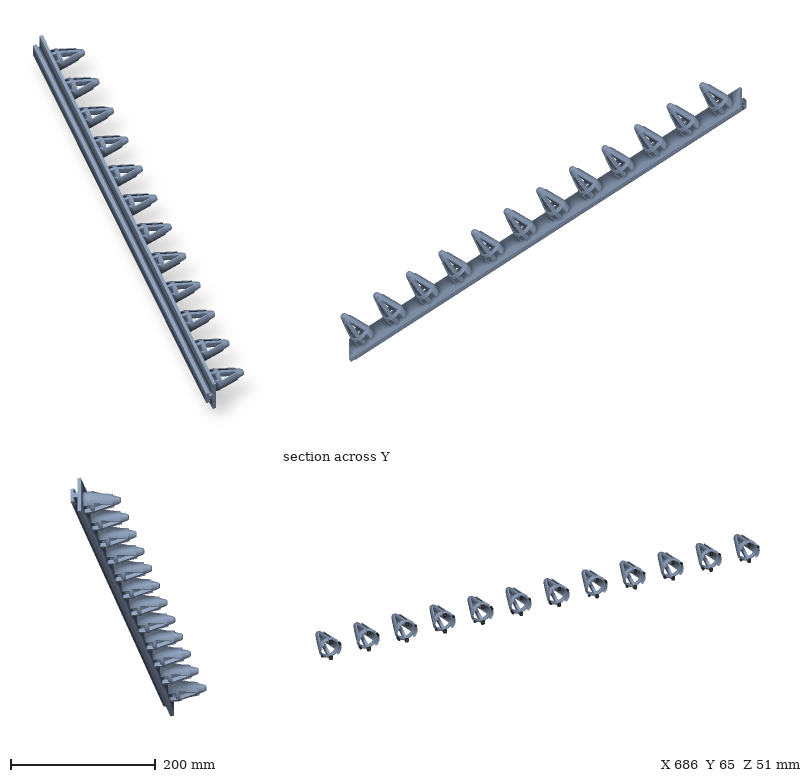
import cadquery as cq
import math

LENGTH = 686.0
RAIL_HEIGHT = 51.0
PLATE_FRONT = 9.5
PLATE_BACK = 14.5
FLANGE_HALF = 9.5
FLANGE_THICKNESS = 4.0
LIP_BACK = 5.5
LIP_HEIGHT = 2.0
WEB_HALF = 3.5

CLIP_COUNT = 12
CLIP_PITCH = LENGTH / CLIP_COUNT
TIP_Y = 65.0
TIP_RADIUS = 3.5
TIP_LENGTH = 2.0
NOSE_RADIUS = 5.0
NOSE_LENGTH = 11.0
BASE_RADIUS = 16.0
LEG_LENGTH = 11.0
RING_HEIGHT = 4.0
RING_WALL = 3.5
RING_LIP = 2.0
PANEL_WIDTH = 16.0
PANEL_WALL = 1.5
NOSE_OVERLAP = 1.0
RIB_WIDTH = 4.0
RIB_DEPTH = 5.5
SIDE_LEG_WIDTH = 20.5

RING_BOTTOM = PLATE_BACK + LEG_LENGTH
RING_TOP = RING_BOTTOM + RING_HEIGHT
CONE_TOP = TIP_Y - TIP_LENGTH
WINDOW_TOP = TIP_Y - NOSE_LENGTH
CONE_SLOPE = (BASE_RADIUS - NOSE_RADIUS) / (CONE_TOP - RING_BOTTOM)
CONE_ANGLE = math.degrees(math.atan(CONE_SLOPE))


def cone_radius(y):
    """Outer radius of the clip's cone at height y."""
    return BASE_RADIUS - CONE_SLOPE * (y - RING_BOTTOM)


def rail():
    upper_half = [
        (0, 0),
        (0, FLANGE_HALF),
        (LIP_BACK, FLANGE_HALF),
        (LIP_BACK, FLANGE_HALF - LIP_HEIGHT),
        (FLANGE_THICKNESS, FLANGE_HALF - LIP_HEIGHT),
        (FLANGE_THICKNESS, WEB_HALF),
        (PLATE_FRONT, WEB_HALF),
        (PLATE_FRONT, RAIL_HEIGHT / 2),
        (PLATE_BACK, RAIL_HEIGHT / 2),
        (PLATE_BACK, 0),
    ]
    half = cq.Workplane("YZ").polyline(upper_half).close().extrude(LENGTH / 2, both=True)
    return half.union(half.mirror("XY"))


def revolved(points):
    """Revolve an outline of (radius, y) points about the clip's axis."""
    return cq.Workplane("XY").polyline(points).close().revolve(360, (0, 0, 0), (0, 1, 0))


def both_sides(shape, plane):
    """The shape together with its mirror image."""
    return shape.union(shape.mirror(plane))


def nose():
    return revolved([
        (0, WINDOW_TOP),
        (cone_radius(WINDOW_TOP), WINDOW_TOP),
        (NOSE_RADIUS, CONE_TOP),
        (TIP_RADIUS, TIP_Y),
        (0, TIP_Y),
    ])


def ring():
    """Base of the cone, with its underside sloping down towards the inside."""
    inner_radius = BASE_RADIUS - RING_WALL
    return revolved([
        (inner_radius, RING_BOTTOM - RING_LIP),
        (BASE_RADIUS - RING_LIP, RING_BOTTOM - RING_LIP),
        (BASE_RADIUS, RING_BOTTOM),
        (cone_radius(RING_TOP), RING_TOP),
        (inner_radius, RING_TOP),
    ])


def curved_wall(y_start, y_end, width, lean):
    """Strip of a cylinder wall on the +X side, leaning inwards by an angle from the ring's lower edge."""
    height = y_end - y_start
    cylinder = (
        cq.Workplane("XZ", origin=(0, TIP_Y, 0))
        .circle(BASE_RADIUS)
        .circle(BASE_RADIUS - PANEL_WALL)
        .extrude(TIP_Y)
        .rotate((BASE_RADIUS, RING_BOTTOM, 0), (BASE_RADIUS, RING_BOTTOM, 1), lean)
    )
    strip = cq.Workplane("XY").box(BASE_RADIUS, height, width)
    return cylinder.intersect(strip.translate((BASE_RADIUS / 2, (y_start + y_end) / 2, 0)))


def side_walls():
    """Leaning panels above the ring and upright legs below it, on both X sides."""
    panel = curved_wall(RING_TOP, WINDOW_TOP + NOSE_OVERLAP, PANEL_WIDTH, CONE_ANGLE)
    leg = curved_wall(PLATE_BACK, RING_BOTTOM, SIDE_LEG_WIDTH, 0)
    return both_sides(panel.union(leg), "YZ")


def narrow_ribs():
    """Narrow bars from the plate to the nose on both Z sides."""
    outline = [
        (PLATE_BACK, BASE_RADIUS),
        (RING_BOTTOM, BASE_RADIUS),
        (RING_BOTTOM, cone_radius(RING_TOP)),
        (RING_TOP, cone_radius(RING_TOP)),
        (WINDOW_TOP, cone_radius(WINDOW_TOP)),
        (WINDOW_TOP, cone_radius(WINDOW_TOP) - RIB_DEPTH),
        (RING_BOTTOM, BASE_RADIUS - RIB_DEPTH),
        (PLATE_BACK, BASE_RADIUS - RIB_DEPTH),
    ]
    rib = cq.Workplane("YZ").polyline(outline).close().extrude(RIB_WIDTH / 2, both=True)
    return both_sides(rib, "XY")


result = rail()
clip = nose().union(ring()).union(side_walls()).union(narrow_ribs())
for index in range(CLIP_COUNT):
    clip_x = (index + 0.5) * CLIP_PITCH - LENGTH / 2
    result = result.union(clip.translate((clip_x, 0, 0)))